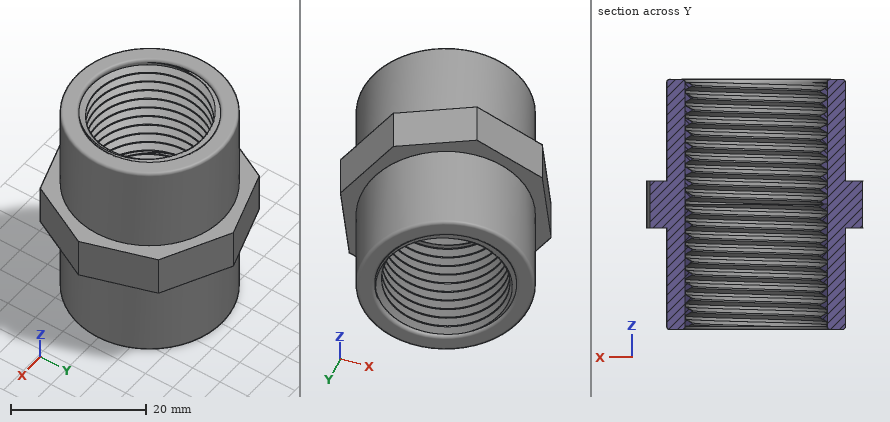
import cadquery as cq
import math

LENGTH = 37.0
OUTER_DIAMETER = 26.5
BORE_DIAMETER = 20.96
RIM_FILLET = 0.5
FLANGE_HEIGHT = 7.0
FLANGE_SIDES = 8
FLANGE_ACROSS_FLATS = 30.0
FLANGE_TURN = -4.76

THREAD_MINOR_DIAMETER = 18.96
PITCH = 1.814
CREST_WIDTH = PITCH / 8
ROOT_WIDTH = 3 * PITCH / 4
THREAD_SETBACK = RIM_FILLET
THREAD_END_ANGLE = 82.0

bore_radius = BORE_DIAMETER / 2
crest_radius = THREAD_MINOR_DIAMETER / 2
thread_top = LENGTH / 2 - THREAD_SETBACK


def centred_cylinder(diameter, height):
    return cq.Workplane("XY").circle(diameter / 2).extrude(height / 2, both=True)


def make_housing():
    tube = centred_cylinder(OUTER_DIAMETER, LENGTH).cut(centred_cylinder(BORE_DIAMETER, LENGTH))
    tube = tube.faces("<Z or >Z").edges().fillet(RIM_FILLET)
    corner_diameter = FLANGE_ACROSS_FLATS / math.cos(math.pi / FLANGE_SIDES)
    flange = (
        cq.Workplane("XY")
        .polygon(FLANGE_SIDES, corner_diameter)
        .circle(bore_radius)
        .extrude(FLANGE_HEIGHT / 2, both=True)
        .rotate((0, 0, 0), (0, 0, 1), FLANGE_TURN)
    )
    return tube.union(flange)


def make_rib():
    """Right-handed trapezoid rib that runs past both ends of the upper thread."""
    turns = math.ceil(thread_top / PITCH) + 2
    start_height = thread_top - (turns - 1) * PITCH

    def helix(radius, offset):
        centre = cq.Vector(0, 0, start_height + offset)
        return cq.Wire.makeHelix(PITCH, turns * PITCH, radius, center=centre)

    corners = [
        helix(bore_radius, -ROOT_WIDTH / 2),
        helix(crest_radius, -CREST_WIDTH / 2),
        helix(crest_radius, CREST_WIDTH / 2),
        helix(bore_radius, ROOT_WIDTH / 2),
    ]
    faces = [cq.Face.makeRuledSurface(corners[i - 1], corners[i]) for i in range(len(corners))]
    for end in (0, 1):
        outline = cq.Wire.makePolygon([corner.positionAt(end) for corner in corners], close=True)
        faces.append(cq.Face.makeFromWires(outline))
    rib = cq.Solid.makeSolid(cq.Shell.makeShell(faces))
    return cq.Workplane(rib).rotate((0, 0, 0), (0, 0, 1), THREAD_END_ANGLE)


def make_upper_thread():
    """The rib trimmed flat at the middle of the tube and near its upper end."""
    span = cq.Workplane("XY").circle(OUTER_DIAMETER / 2).extrude(thread_top)
    return make_rib().intersect(span)


housing = make_housing()
upper_thread = make_upper_thread()
threads = [upper_thread.rotate((0, 0, 0), (1, 0, 0), turn) for turn in (0, 180)]

result = cq.Compound.makeCompound([housing.val(), *(thread.val() for thread in threads)])